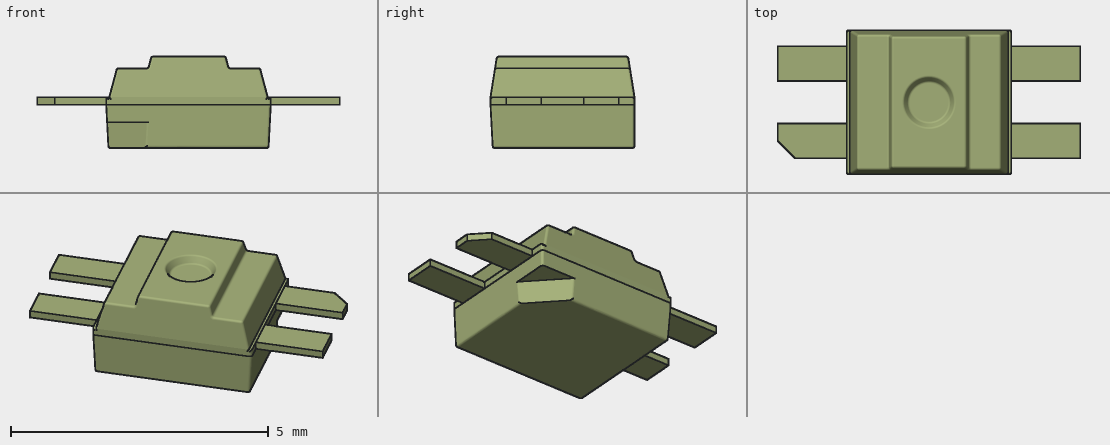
import math

import cadquery as cq

total_length = 5.88
body_length = 3.2
body_width = 2.8
body_height = 1.78
edge_radius = 0.05

lead_thickness = 0.15
lead_width = 0.68
lead_pitch = 1.5
lead_chamfer = lead_width / 2
parting_z = 0.84
ledge_z = parting_z + lead_thickness

base_draft = math.radians(3)
corner_cut_height = 0.5
corner_cut_leg = 0.82

cap_foot_length = 3.08
cap_end_draft = math.radians(15)
cap_side_draft = math.radians(9)
shoulder_z = 1.55
ridge_top_length = 1.44
ridge_draft = math.radians(15)

dimple_top_radius = 0.495
dimple_floor_radius = 0.4
dimple_depth = 0.15
dimple_rim_radius = 0.05

half_length = body_length / 2
half_width = body_width / 2


def make_drafted_block():
    """Sharp-edged base block without its corner cut."""
    inset = parting_z * math.tan(base_draft)
    underside_length = body_length - 2 * inset
    underside_width = body_width - inset
    return (
        cq.Workplane("XY")
        .center(0, inset / 2)
        .rect(underside_length, underside_width)
        .workplane(offset=parting_z)
        .center(0, -inset / 2)
        .rect(body_length, body_width)
        .loft(ruled=True)
    )


def make_corner_cut():
    """Triangular prism removed from the lower -X -Y corner."""
    return (
        cq.Workplane("XY", origin=(-half_length, -half_width, 0))
        .polyline([(0, 0), (corner_cut_leg, 0), (0, corner_cut_leg)]).close()
        .extrude(corner_cut_height)
    )


def make_base():
    """Base block with rounded edges and the corner cut."""
    rounded_block = make_drafted_block().edges("not >Z").fillet(edge_radius)
    cut_block = make_drafted_block().cut(make_corner_cut())
    cut_face = cut_block.faces(cq.selectors.ParallelDirSelector(cq.Vector(1, 1, 0)))
    cut_block = cut_block.newObject(cut_face.edges("not #Z").vals()).fillet(edge_radius)
    return rounded_block.intersect(cut_block)


def make_cap_band():
    """Flat band of the cap; its top shows as a ledge at each end."""
    return (
        cq.Workplane("XY", origin=(0, 0, parting_z))
        .rect(body_length, body_width)
        .extrude(lead_thickness)
        .edges("|Z or (>Z and |X)").fillet(edge_radius)
    )


def make_cap_core():
    """Stepped profile between two sides that are upright up to the ledge and then lean inward."""
    end_slope = math.tan(cap_end_draft)
    parting_end = cap_foot_length / 2 + (ledge_z - parting_z) * end_slope
    shoulder = cap_foot_length / 2 - (shoulder_z - ledge_z) * end_slope
    ridge_top = ridge_top_length / 2
    ridge_foot = ridge_top + (body_height - shoulder_z) * math.tan(ridge_draft)
    stepped = (
        cq.Workplane("XZ")
        .polyline([
            (-parting_end, parting_z),
            (-shoulder, shoulder_z),
            (-ridge_foot, shoulder_z),
            (-ridge_top, body_height),
            (ridge_top, body_height),
            (ridge_foot, shoulder_z),
            (shoulder, shoulder_z),
            (parting_end, parting_z),
        ]).close()
        .extrude(half_width, both=True)
    )
    side_top = half_width - (body_height - ledge_z) * math.tan(cap_side_draft)
    sides = (
        cq.Workplane("YZ")
        .polyline([
            (-half_width, parting_z),
            (half_width, parting_z),
            (half_width, ledge_z),
            (side_top, body_height),
            (-side_top, body_height),
            (-half_width, ledge_z),
        ]).close()
        .extrude(half_length, both=True)
    )
    core = stepped.intersect(sides)
    return core.edges("not (<Z or (|X and (>Y or <Y)))").fillet(edge_radius)


def make_dimple():
    """Tapered round plug whose lower edge is rounded."""
    return (
        cq.Workplane("XY", origin=(0, 0, body_height - dimple_depth))
        .circle(dimple_floor_radius)
        .workplane(offset=dimple_depth)
        .circle(dimple_top_radius)
        .loft()
        .faces("<Z").edges().fillet(edge_radius)
    )


def make_cap():
    """Cap body with the dimple and its rounded rim."""
    cap = make_cap_band().union(make_cap_core()).cut(make_dimple())
    return cap.faces(">Z").edges("%CIRCLE").fillet(dimple_rim_radius)


def make_lead(side, row, has_chamfer):
    """Flat lead butting against an end of the body; side and row are -1 or 1."""
    length = (total_length - body_length) / 2
    center_x = side * (half_length + length / 2)
    lead = (
        cq.Workplane("XY", origin=(center_x, row * lead_pitch / 2, parting_z))
        .rect(length, lead_width)
        .extrude(lead_thickness)
    )
    if has_chamfer:
        lead = lead.edges("|Z and <X and <Y").chamfer(lead_chamfer)
    return lead


base = make_base()
cap = make_cap()
leads = [
    make_lead(side, row, side < 0 and row < 0)
    for side in (-1, 1)
    for row in (-1, 1)
]
result = cq.Compound.makeCompound([base.val(), cap.val(), *[lead.val() for lead in leads]])